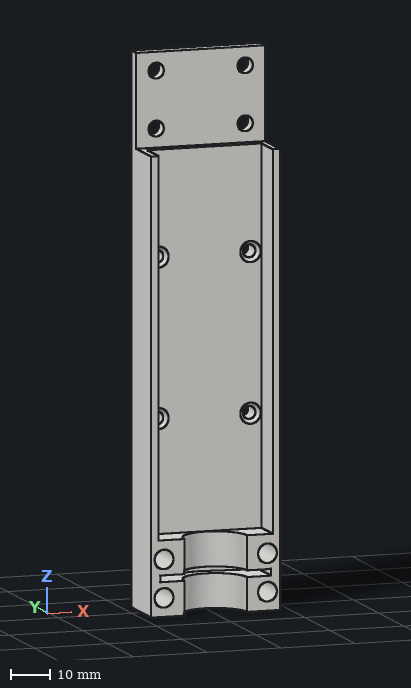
import cadquery as cq

width = 35.0
depth = 16.0
height = 145.0

plate_thickness = 4.0
plate_height = 25.0
plate_hole_diameter = 4.0
plate_hole_spacing_x = 24.0
plate_hole_spacing_z = 15.1
plate_hole_top_margin = 5.0

side_wall = 2.0
pocket_floor = 7.0
clamp_height = 20.0

screw_diameter = 3.3
screw_head_diameter = 5.5
screw_head_angle = 90
screw_spacing_x = 25.0
screw_spacing_z = 42.0
screw_height_above_clamp = 30.0

bore_diameter = 17.0
slot_width = 30.0
slot_side_depth = 10.0
slot_center_depth = 12.0
slot_height = 1.7
clamp_hole_diameter = 5.1
clamp_hole_spacing_x = 28.0
clamp_hole_spacing_z = 10.0

shoulder_z = height - plate_height
front_workplane = cq.Workplane("XZ")


def block(x_size, y_start, y_end, z_start, z_end):
    """Box centred on X = 0 between the given Y and Z limits."""
    return (
        cq.Workplane("XY")
        .box(x_size, y_end - y_start, z_end - z_start, centered=(True, False, False))
        .translate((0, y_start, z_start))
    )


def hole_centers(spacing_x, z_low, spacing_z):
    """Corners of a hole rectangle centred on X = 0."""
    return [(side * spacing_x / 2, z) for side in (-1, 1) for z in (z_low, z_low + spacing_z)]


def through_holes(diameter, centers):
    """Cylinders running through the whole depth along Y."""
    return front_workplane.pushPoints(centers).circle(diameter / 2).extrude(-depth)


body = block(width, 0, depth, 0, height)
body = body.cut(block(width, 0, depth - plate_thickness, shoulder_z, height))
body = body.cut(block(width - 2 * side_wall, 0, depth - pocket_floor, clamp_height, shoulder_z))

bore = cq.Workplane("XY").circle(bore_diameter / 2).extrude(clamp_height)
body = body.cut(bore)
slot_z = (clamp_height - slot_height) / 2
slot = (
    cq.Workplane("XY")
    .workplane(offset=slot_z)
    .moveTo(-slot_width / 2, 0)
    .lineTo(-slot_width / 2, slot_side_depth)
    .lineTo(0, slot_center_depth)
    .lineTo(slot_width / 2, slot_side_depth)
    .lineTo(slot_width / 2, 0)
    .close()
    .extrude(slot_height)
)
body = body.cut(slot)

clamp_hole_z = (clamp_height - clamp_hole_spacing_z) / 2
clamp_holes = hole_centers(clamp_hole_spacing_x, clamp_hole_z, clamp_hole_spacing_z)
body = body.cut(through_holes(clamp_hole_diameter, clamp_holes))

plate_hole_z = height - plate_hole_top_margin - plate_hole_spacing_z
plate_holes = hole_centers(plate_hole_spacing_x, plate_hole_z, plate_hole_spacing_z)
body = body.cut(through_holes(plate_hole_diameter, plate_holes))

screw_z = clamp_height + screw_height_above_clamp
result = (
    body.copyWorkplane(front_workplane.workplane(offset=pocket_floor - depth))
    .pushPoints(hole_centers(screw_spacing_x, screw_z, screw_spacing_z))
    .cskHole(screw_diameter, screw_head_diameter, screw_head_angle)
)